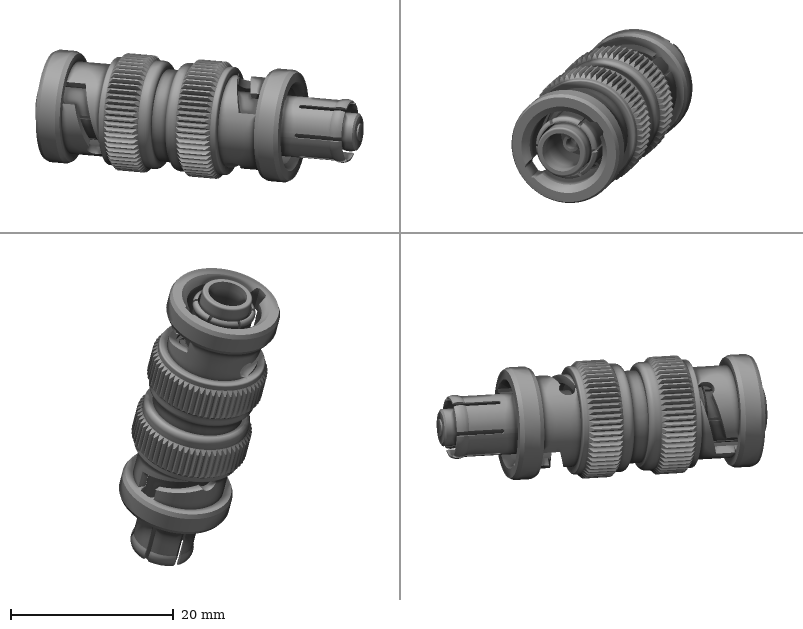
import cadquery as cq
import math


total_length = 40.9
middle = 16.72
flip_axis_angle = -129.0

barrel_r = 11.4 / 2
bore_r = 9.4 / 2
mouth_r = 11.05 / 2
flange_r = 13.9 / 2
collar_r = 13.37 / 2
flange_start, flange_end = 1.2, 4.25
mouth_cone_length = 0.8
flange_chamfer_length = 0.55
flange_chamfer_depth = flange_r - collar_r
collar_start, collar_end = 9.15, 15.8
collar_front_fillet = 0.2
collar_round_length, collar_round_depth = 0.7, 0.5

knurl_tip_r = 14.48 / 2
knurl_depth = knurl_tip_r - collar_r
knurl_start, knurl_end = 9.9, 14.3
tooth_count = 60
tooth_tip_half_angle = 0.7

entry_angle = -125.4
entry_half_angle = 14.3
entry_window_end = 5.72
groove_depth_r = 5.72
groove_inner_half_width = 1.1
groove_shoulder_half_width = 1.0
groove_shoulder_r = 5.4
groove_floor_half_width = 0.7
lock_angle = -45.0
lock_hole_d = 2.05
lock_hole_z = 8.0
ramp_end_z = 8.42
ramp_pitch = 9.8
ramp_width = 1.7
slot_inner_r = 4.5
slot_outer_r = 6.15

finger_count = 6
finger_r = 7.5 / 2
crown_r = 7.9 / 2

socket_tip_z = 1.68
socket_bore_r = 6.8 / 2
socket_tip_r = 7.07 / 2
socket_root_r = 8.6 / 2
socket_crown_front, socket_crown_back = 0.57, 0.45
socket_cone_start, socket_cone_end = 7.7, 8.15
socket_hub_r = 3.8
socket_slot_width = 0.4
sleeve_r = 6.25 / 2
sleeve_bore_r = 4.85 / 2
sleeve_fillet = 0.25
sleeve_floor_z = 8.18
contact_r = 2.13 / 2
contact_tip_z = 4.1
contact_hole_d = 1.35
contact_hole_depth = 2.05
drill_point_angle = 118.0

plug_tip_z = 39.55
plug_crown_length = 1.55
plug_bore_r = 7.07 / 2
plug_bore_floor_z = 32.3
plug_slot_start = 33.55
plug_slot_width = 0.57
core_r = 4.6 / 2
core_end_z = 40.7
core_chamfer_length = 0.2
core_chamfer_depth = 0.3
pin_r = 2.15 / 2


def cylinder(radius, start, end):
    return cq.Workplane("XY").workplane(offset=start).circle(radius).extrude(end - start)


def spin(outline):
    """Turn a closed (radius, z) outline in the XZ plane into a solid about Z."""
    return outline.close().revolve(360, (0, 0, 0), (0, 1, 0))


def polar(radius, angle):
    turn = math.radians(angle)
    return radius * math.cos(turn), radius * math.sin(turn)


def knurl():
    """Ring of narrow-topped teeth whose two ends are bevelled at 45 degrees."""
    pitch_angle = 360 / tooth_count
    star = []
    for tooth in range(tooth_count):
        star.append(polar(collar_r, tooth * pitch_angle))
        tip_angle = (tooth + 0.5) * pitch_angle
        star.append(polar(knurl_tip_r, tip_angle - tooth_tip_half_angle))
        star.append(polar(knurl_tip_r, tip_angle + tooth_tip_half_angle))
    length = knurl_end - knurl_start
    teeth = cq.Workplane("XY").workplane(offset=knurl_start).polyline(star).close().extrude(length)
    envelope = cylinder(knurl_tip_r, knurl_start, knurl_end).edges().chamfer(knurl_depth)
    return teeth.intersect(envelope)


def flange():
    inner_r = flange_r - flange_chamfer_depth
    outline = (
        cq.Workplane("XZ")
        .moveTo(0, flange_start)
        .lineTo(inner_r, flange_start)
        .lineTo(flange_r, flange_start + flange_chamfer_length)
        .lineTo(flange_r, flange_end - flange_chamfer_length)
        .lineTo(inner_r, flange_end)
        .lineTo(0, flange_end)
    )
    return spin(outline)


def collar():
    """Knurl seat: filleted in front, rounded at the back by an arc that meets the end face at an angle."""
    outline = (
        cq.Workplane("XZ")
        .moveTo(0, collar_start)
        .lineTo(collar_r, collar_start)
        .lineTo(collar_r, collar_end - collar_round_length)
        .tangentArcPoint((-collar_round_depth, collar_round_length))
        .lineTo(0, collar_end)
    )
    return spin(outline).faces("<Z").edges().fillet(collar_front_fillet)


def entry_groove():
    """Blunt-cornered groove that lets a bayonet stud in through the flange."""
    groove = (
        cq.Workplane("XY")
        .workplane(offset=flange_start)
        .moveTo(slot_inner_r, -groove_inner_half_width)
        .lineTo(bore_r, -groove_inner_half_width)
        .lineTo(groove_shoulder_r, -groove_shoulder_half_width)
        .lineTo(groove_depth_r, -groove_floor_half_width)
        .lineTo(groove_depth_r, groove_floor_half_width)
        .lineTo(groove_shoulder_r, groove_shoulder_half_width)
        .lineTo(bore_r, groove_inner_half_width)
        .lineTo(slot_inner_r, groove_inner_half_width)
        .close()
        .extrude(flange_end - flange_start)
    )
    return groove.rotate((0, 0, 0), (0, 0, 1), entry_angle)


def entry_window():
    """Opening with radial sides through the barrel, just behind the flange."""
    low, high = entry_angle - entry_half_angle, entry_angle + entry_half_angle
    return (
        cq.Workplane("XY")
        .workplane(offset=flange_end)
        .moveTo(*polar(slot_inner_r, low))
        .lineTo(*polar(slot_outer_r, low))
        .threePointArc(polar(slot_outer_r, entry_angle), polar(slot_outer_r, high))
        .lineTo(*polar(slot_inner_r, high))
        .threePointArc(polar(slot_inner_r, entry_angle), polar(slot_inner_r, low))
        .close()
        .extrude(entry_window_end - flange_end)
    )


def ramp():
    """Helical slot from the entry window to the locking hole."""
    start_angle = entry_angle - entry_half_angle
    height = ramp_pitch * (lock_angle - start_angle) / 360
    path = cq.Workplane(obj=cq.Wire.makeHelix(ramp_pitch, height, slot_inner_r))
    radial_depth = slot_outer_r - slot_inner_r
    section = (
        cq.Workplane("XZ")
        .center(slot_inner_r + radial_depth / 2, 0)
        .rect(radial_depth, ramp_width)
    )
    slot = section.sweep(path, isFrenet=True)
    return slot.rotate((0, 0, 0), (0, 0, 1), start_angle).translate((0, 0, ramp_end_z - height))


def lock_hole():
    hole = (
        cq.Workplane("YZ")
        .workplane(offset=slot_inner_r)
        .center(0, lock_hole_z)
        .circle(lock_hole_d / 2)
        .extrude(slot_outer_r - slot_inner_r)
    )
    return hole.rotate((0, 0, 0), (0, 0, 1), lock_angle)


def coupling():
    """Knurled shell with an open mouth at low Z and a solid neck up to the middle plane."""
    shell = cylinder(barrel_r, flange_start, middle).union(flange()).union(collar()).union(knurl())
    cavity = (
        cq.Workplane("XZ")
        .moveTo(0, flange_start)
        .lineTo(mouth_r, flange_start)
        .lineTo(bore_r, flange_start + mouth_cone_length)
        .lineTo(bore_r, collar_start)
        .lineTo(0, collar_start)
    )
    shell = shell.cut(spin(cavity))
    for cutter in (entry_groove(), entry_window(), ramp(), lock_hole()):
        shell = shell.cut(cutter)
        shell = shell.cut(cutter.rotate((0, 0, 0), (0, 0, 1), 180))
    return shell


def finger_slots(width, start, end, inner_r, outer_r, round_end=False):
    """Radial saw cuts between the spring fingers, the first one on the Y axis."""
    sketch_plane = cq.Workplane("XZ", origin=(0, -inner_r, 0))
    depth = outer_r - inner_r
    slot = sketch_plane.center(0, (start + end) / 2).rect(width, end - start).extrude(depth)
    if round_end:
        root = sketch_plane.center(0, start).circle(width / 2).extrude(depth)
        slot = slot.union(root)
    cuts = cq.Workplane("XY")
    for finger in range(finger_count):
        cuts = cuts.add(slot.rotate((0, 0, 0), (0, 0, 1), finger * 360 / finger_count))
    return cuts.combine()


def socket():
    """Slotted spring fingers around a hollow sleeve with a drilled centre contact."""
    crest_z = socket_tip_z + socket_crown_front
    fingers = (
        cq.Workplane("XZ")
        .moveTo(socket_bore_r, socket_tip_z)
        .lineTo(socket_tip_r, socket_tip_z)
        .threePointArc((crown_r, crest_z), (finger_r, crest_z + socket_crown_back))
        .lineTo(finger_r, socket_cone_start)
        .lineTo(socket_root_r, socket_cone_end)
        .lineTo(socket_root_r, collar_start)
        .lineTo(socket_bore_r, collar_start)
    )
    fingers = spin(fingers).cut(
        finger_slots(socket_slot_width, socket_tip_z, socket_cone_end, socket_bore_r, socket_root_r)
    )
    hub = cylinder(socket_hub_r, socket_cone_start, collar_start)
    sleeve = cylinder(sleeve_r, 0, collar_start).faces("<Z").edges().fillet(sleeve_fillet)
    sleeve = sleeve.cut(cylinder(sleeve_bore_r, 0, sleeve_floor_z))

    hole_r = contact_hole_d / 2
    cone_depth = hole_r / math.tan(math.radians(drill_point_angle / 2))
    hole_end = contact_tip_z + contact_hole_depth
    drill = (
        cq.Workplane("XZ")
        .moveTo(0, contact_tip_z)
        .lineTo(hole_r, contact_tip_z)
        .lineTo(hole_r, hole_end)
        .lineTo(0, hole_end + cone_depth)
    )
    contact = cylinder(contact_r, contact_tip_z, sleeve_floor_z).cut(spin(drill))
    return fingers.union(hub).union(sleeve).union(contact)


def plug():
    """Slotted crowned tube around a solid core that ends in a short centre pin."""
    tube_start = 2 * middle - collar_start
    crown_start = plug_tip_z - plug_crown_length
    tube = (
        cq.Workplane("XZ")
        .moveTo(0, tube_start)
        .lineTo(finger_r, tube_start)
        .lineTo(finger_r, crown_start)
        .threePointArc((crown_r, plug_tip_z - plug_crown_length / 2), (finger_r, plug_tip_z))
        .lineTo(plug_bore_r, plug_tip_z)
        .lineTo(plug_bore_r, plug_bore_floor_z)
        .lineTo(0, plug_bore_floor_z)
    )
    slot_root_z = plug_slot_start + plug_slot_width / 2
    tube = spin(tube).cut(
        finger_slots(plug_slot_width, slot_root_z, plug_tip_z, core_r, crown_r, round_end=True)
    )
    core = (
        cylinder(core_r, plug_bore_floor_z, core_end_z)
        .faces(">Z")
        .edges()
        .chamfer(core_chamfer_length, core_chamfer_depth)
    )
    pin = cylinder(pin_r, core_end_z, total_length)
    return tube.union(core).union(pin)


front_coupling = coupling()
flip_axis_start = (0, 0, middle)
flip_axis_end = (*polar(0.4, flip_axis_angle), middle)
back_coupling = front_coupling.rotate(flip_axis_start, flip_axis_end, 180)

adapter = front_coupling.union(back_coupling).union(socket()).union(plug())

result = adapter.rotate((0, 0, 0), (0, 1, 0), 90)